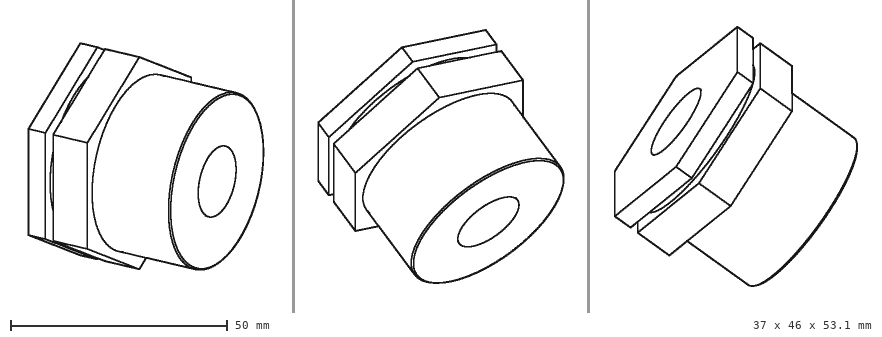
import cadquery as cq
import math

hex_corners = 53.1

total_length = 37.0
flange_thickness = 4.6
groove_width = 2.05
nut_thickness = 9.3

body_diameter = 41.9
end_chamfer = 0.35
mouth_diameter = 18.65
bore_diameter = 16.8

nut_start = flange_thickness + groove_width
mouth_depth = nut_start + nut_thickness


def hex_plate(start, thickness):
    """Hexagonal plate with two corners on the Z axis."""
    radius = hex_corners / 2
    corners = []
    for i in range(6):
        angle = math.radians(90 + 60 * i)
        corners.append((radius * math.cos(angle), radius * math.sin(angle)))
    return cq.Workplane("YZ", origin=(start, 0, 0)).polyline(corners).close().extrude(thickness)


def round_body():
    """Full-length cylinder, chamfered at the plain end."""
    body = cq.Workplane("YZ").circle(body_diameter / 2).extrude(total_length)
    return body.faces(">X").chamfer(end_chamfer)


def stepped_bore():
    """Through bore, wider from the flange face to the far face of the nut."""
    through = cq.Workplane("YZ").circle(bore_diameter / 2).extrude(total_length)
    mouth = cq.Workplane("YZ").circle(mouth_diameter / 2).extrude(mouth_depth)
    return through.union(mouth)


flange = hex_plate(0, flange_thickness)
nut = hex_plate(nut_start, nut_thickness)
result = round_body().union(flange).union(nut).cut(stepped_bore())